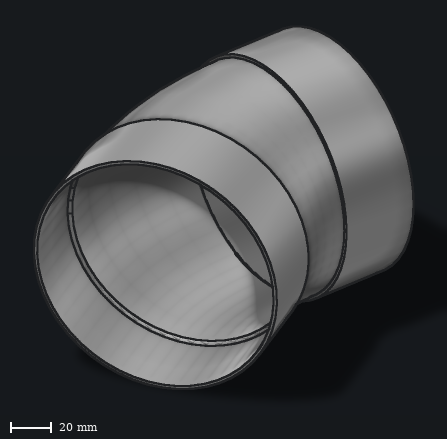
import cadquery as cq
import math

bend_angle = 30.0
overall_length = 172.6
socket_length = 42.0
socket_diameter = 128.6
pipe_diameter = 125.0
wall = (socket_diameter - pipe_diameter) / 2
pipe_bore = pipe_diameter - 2 * wall
socket_bore = pipe_diameter
lip_radius = wall
socket_depth = socket_length - lip_radius

angle = math.radians(bend_angle)
sockets_along_y = socket_length * (1 + math.cos(angle))
mouth_edge_along_y = socket_diameter / 2 * math.sin(angle)
bend_radius = (overall_length - sockets_along_y - mouth_edge_along_y) / math.sin(angle)

inlet_mouth = cq.Vector(0, 0, 0)
inlet_direction = cq.Vector(0, 1, 0)
outlet_direction = cq.Vector(math.sin(angle), math.cos(angle), 0)
bend_start = inlet_mouth + inlet_direction * socket_length
bend_end = bend_start + cq.Vector(
    bend_radius * (1 - math.cos(angle)), bend_radius * math.sin(angle), 0
)
outlet_mouth = bend_end + outlet_direction * socket_length


def cylinder(diameter, length, base, direction):
    """Solid cylinder rising from a base point along a direction."""
    return cq.Workplane(cq.Solid.makeCylinder(diameter / 2, length, base, direction))


def bend(diameter):
    """Solid round bar revolved about an axis parallel to Z at the bend centre."""
    return (
        cq.Workplane("XZ", origin=bend_start.toTuple())
        .circle(diameter / 2)
        .revolve(bend_angle, (bend_radius, 0, 0), (bend_radius, -1, 0))
    )


def socket_cavity(mouth, direction):
    """Straight socket bore whose floor rounds over convexly into the pipe bore."""
    pipe_radius = pipe_bore / 2
    socket_radius = socket_bore / 2
    lip_offset = lip_radius * math.sqrt(0.5)
    arc_middle = (socket_radius - lip_offset, socket_length - lip_offset)
    plane = cq.Plane(origin=mouth, xDir=(0, 0, 1), normal=cq.Vector(0, 0, 1).cross(direction))
    return (
        cq.Workplane(plane)
        .lineTo(socket_radius, 0)
        .lineTo(socket_radius, socket_depth)
        .threePointArc(arc_middle, (pipe_radius, socket_length))
        .lineTo(0, socket_length)
        .close()
        .revolve(360, (0, 0, 0), (0, 1, 0))
    )


result = bend(pipe_diameter)
result = result.union(cylinder(socket_diameter, socket_length, inlet_mouth, inlet_direction))
result = result.union(cylinder(socket_diameter, socket_length, bend_end, outlet_direction))

result = result.cut(bend(pipe_bore))
result = result.cut(socket_cavity(inlet_mouth, inlet_direction))
result = result.cut(socket_cavity(outlet_mouth, outlet_direction * -1))